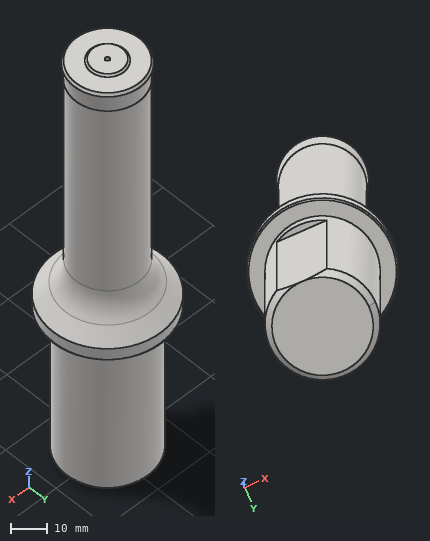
import cadquery as cq
import math

total_height = 161.5
shank_radius = 32.0 / 2
shank_end_radius = 14.0
shank_chamfer_height = 2.3
flat_distance = 14.0
flat_top = 55.4
collar_radius = 42.0 / 2
collar_bottom = 60.0
collar_chamfer = 0.5
neck_radius = 24.5 / 2
flare_radius = 13.7
flare_top = 79.5
flare_angle = math.radians(45)

head_bottom = 153.5
head_radius = 25.7 / 2
head_chamfer_height = 1.0
head_chamfer_width = 0.6
boss_radius = 12.6 / 2
boss_height = 0.6
boss_chamfer_width = 0.6
center_hole_radius = 1.5 / 2
center_hole_depth = 3.2


def make_holder():
    """Revolve the holder outline and mill the clamping flat on its -Y side."""
    flare_center_radius = neck_radius + flare_radius

    def flare_point(angle):
        return (
            flare_center_radius - flare_radius * math.cos(angle),
            flare_top - flare_radius * math.sin(angle),
        )

    cone_top_radius, cone_top = flare_point(flare_angle)
    cone_bottom = cone_top - (collar_radius - cone_top_radius) * math.tan(flare_angle)
    holder = (
        cq.Workplane("XZ")
        .moveTo(0, 0)
        .lineTo(shank_end_radius, 0)
        .lineTo(shank_radius, shank_chamfer_height)
        .lineTo(shank_radius, collar_bottom)
        .lineTo(collar_radius - collar_chamfer, collar_bottom)
        .lineTo(collar_radius, collar_bottom + collar_chamfer)
        .lineTo(collar_radius, cone_bottom)
        .lineTo(cone_top_radius, cone_top)
        .threePointArc(flare_point(flare_angle / 2), (neck_radius, flare_top))
        .lineTo(neck_radius, head_bottom)
        .lineTo(0, head_bottom)
        .close()
        .revolve(360, (0, 0, 0), (0, 1, 0))
    )
    flat_cutter = cq.Workplane("XY").box(
        2 * shank_radius, shank_radius, flat_top, centered=(True, False, False)
    ).translate((0, -flat_distance - shank_radius, 0))
    return holder.cut(flat_cutter)


def make_head():
    """Revolve the tapered head with its raised boss and small center hole."""
    face_height = total_height - boss_height
    head = (
        cq.Workplane("XZ")
        .moveTo(0, head_bottom)
        .lineTo(neck_radius, head_bottom)
        .lineTo(head_radius, face_height - head_chamfer_height)
        .lineTo(head_radius - head_chamfer_width, face_height)
        .lineTo(boss_radius, face_height)
        .lineTo(boss_radius - boss_chamfer_width, total_height)
        .lineTo(0, total_height)
        .close()
        .revolve(360, (0, 0, 0), (0, 1, 0))
    )
    center_hole = (
        cq.Workplane("XY", origin=(0, 0, total_height - center_hole_depth))
        .circle(center_hole_radius)
        .extrude(center_hole_depth)
    )
    return head.cut(center_hole)


holder = make_holder()
head = make_head()

result = cq.Compound.makeCompound([holder.val(), head.val()])